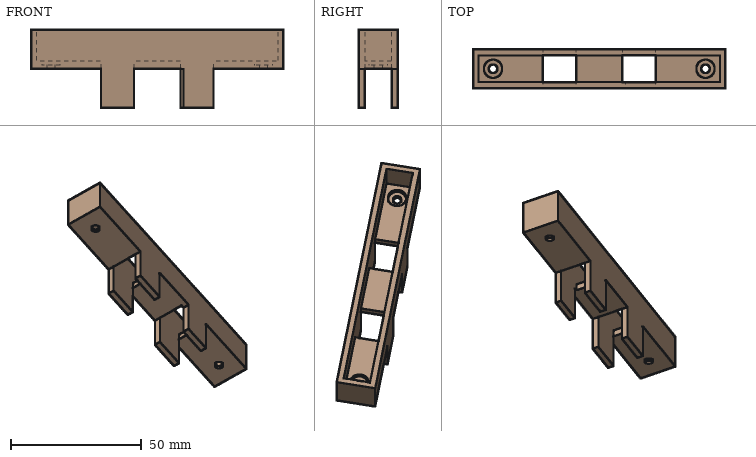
import cadquery as cq

TRAY_LENGTH = 96.52
TRAY_WIDTH = 15.0
TRAY_HEIGHT = 15.0
CAVITY_WIDTH = 10.2
END_WALL = 2.16
FLOOR_THICKNESS = 3.0
SIDE_WALL = (TRAY_WIDTH - CAVITY_WIDTH) / 2
CAVITY_LENGTH = TRAY_LENGTH - 2 * END_WALL

WINDOW_PITCH = 30.48
WINDOW_LENGTH = 12.7
LEG_HEIGHT = 15.0
LEG_RELIEF = 1.2

SCREW_PITCH = 81.28
SCREW_DIAMETER = 3.2
HEAD_DIAMETER = 7.0
HEAD_DEPTH = 1.5


def make_tray():
    """Open-topped box with a plain rectangular cavity."""
    body = cq.Workplane("XY").box(TRAY_LENGTH, TRAY_WIDTH, TRAY_HEIGHT, centered=(True, True, False))
    cavity = (
        cq.Workplane("XY")
        .workplane(offset=FLOOR_THICKNESS)
        .rect(CAVITY_LENGTH, CAVITY_WIDTH)
        .extrude(TRAY_HEIGHT - FLOOR_THICKNESS)
    )
    return body.cut(cavity)


def make_leg(window_x, side, relief=0.0):
    """Leg hanging under one side wall (side is -1 or +1 in Y), shortened at its -X edge by relief."""
    leg_x = window_x + relief / 2
    leg_y = side * (TRAY_WIDTH - SIDE_WALL) / 2
    return (
        cq.Workplane("XY")
        .center(leg_x, leg_y)
        .rect(WINDOW_LENGTH - relief, SIDE_WALL)
        .extrude(-LEG_HEIGHT)
    )


def cut_windows(body):
    """Openings through the floor, as wide as the cavity."""
    windows = (
        cq.Workplane("XY")
        .rarray(WINDOW_PITCH, 1, 2, 1)
        .rect(WINDOW_LENGTH, CAVITY_WIDTH)
        .extrude(FLOOR_THICKNESS)
    )
    return body.cut(windows)


def cut_screw_holes(body):
    """Counterbored holes entering from the cavity side of the floor."""
    return (
        body.copyWorkplane(cq.Workplane("XY", origin=(0, 0, FLOOR_THICKNESS)))
        .rarray(SCREW_PITCH, 1, 2, 1)
        .cboreHole(SCREW_DIAMETER, HEAD_DIAMETER, HEAD_DEPTH, depth=FLOOR_THICKNESS)
    )


result = cut_screw_holes(cut_windows(make_tray()))

left_window_x = -WINDOW_PITCH / 2
right_window_x = WINDOW_PITCH / 2
result = result.union(make_leg(left_window_x, -1))
result = result.union(make_leg(left_window_x, 1))
result = result.union(make_leg(right_window_x, -1, LEG_RELIEF))
result = result.union(make_leg(right_window_x, 1))
result = result.clean()